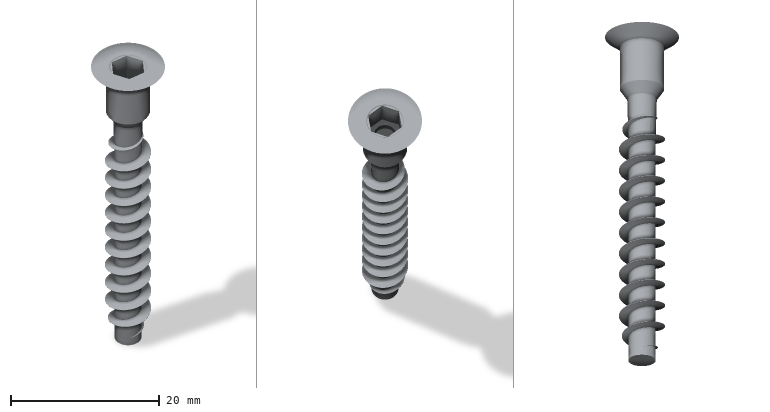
import math

import cadquery as cq

LENGTH = 48.0

HEAD_DIAMETER = 10.0
HEAD_HEIGHT = 1.5
COLLAR_DIAMETER = 6.0
COLLAR_LENGTH = 6.2
COLLAR_CONE_HEIGHT = 1.5
NECK_DIAMETER = 4.0
NECK_LENGTH = 5.6
CORE_DIAMETER = 3.7

HEAD_BOTTOM_Z = LENGTH - HEAD_HEIGHT
COLLAR_BOTTOM_Z = HEAD_BOTTOM_Z - COLLAR_LENGTH
NECK_TOP_Z = COLLAR_BOTTOM_Z - COLLAR_CONE_HEIGHT
NECK_BOTTOM_Z = NECK_TOP_Z - NECK_LENGTH

SOCKET_ACROSS_FLATS = 4.2
SOCKET_DEPTH = 4.0
SOCKET_MOUTH_DIAMETER = 5.0
SOCKET_MOUTH_DEPTH = 0.1
RELIEF_DIAMETER = 3.0
RELIEF_DEPTH = 5.0

THREAD_DIAMETER = 6.25
THREAD_PITCH = 3.09
THREAD_CREST_WIDTH = 0.05
THREAD_CORE_WIDTH = 0.7
THREAD_ROOT_RADIUS = 1.6
FULL_THREAD_START_Z = 4.6
FULL_THREAD_START_ANGLE = 0.0
FULL_THREAD_TURNS = 9.25
RUNOUT_TURNS = 1.25
RUNOUT_DROP_PER_TURN = 1.17


def make_shank():
    """Head, collar, neck and core as one revolved outline."""
    outline = [
        (0, 0),
        (CORE_DIAMETER / 2, 0),
        (CORE_DIAMETER / 2, NECK_BOTTOM_Z),
        (NECK_DIAMETER / 2, NECK_TOP_Z),
        (COLLAR_DIAMETER / 2, COLLAR_BOTTOM_Z),
        (COLLAR_DIAMETER / 2, HEAD_BOTTOM_Z),
        (HEAD_DIAMETER / 2, LENGTH),
        (0, LENGTH),
    ]
    return cq.Workplane("XZ").polyline(outline).close().revolve(360, (0, 0), (0, 1))


def make_socket():
    """Solid to remove for the hexagon, its conical mouth and the relief."""
    corner_diameter = SOCKET_ACROSS_FLATS / math.cos(math.pi / 6)
    top = cq.Workplane("XY").workplane(offset=LENGTH)
    hexagon = top.transformed(rotate=(0, 0, 90)).polygon(6, corner_diameter).extrude(-SOCKET_DEPTH)
    relief = top.circle(RELIEF_DIAMETER / 2).extrude(-RELIEF_DEPTH)
    mouth_bottom = cq.Vector(0, 0, LENGTH - SOCKET_MOUTH_DEPTH)
    mouth = cq.Workplane(
        cq.Solid.makeCone(corner_diameter / 2, SOCKET_MOUTH_DIAMETER / 2, SOCKET_MOUTH_DEPTH, mouth_bottom)
    )
    return hexagon.union(relief).union(mouth)


def thread_profile(radial_shift):
    """Corners (radius, height) of the thread section, moved outward by radial_shift."""
    crest_radius = THREAD_DIAMETER / 2
    core_radius = CORE_DIAMETER / 2
    widening = (THREAD_CORE_WIDTH - THREAD_CREST_WIDTH) / (crest_radius - core_radius)
    root_width = THREAD_CREST_WIDTH + widening * (crest_radius - THREAD_ROOT_RADIUS)
    root = THREAD_ROOT_RADIUS + radial_shift
    crest = crest_radius + radial_shift
    return [
        (root, -root_width / 2),
        (crest, -THREAD_CREST_WIDTH / 2),
        (crest, THREAD_CREST_WIDTH / 2),
        (root, root_width / 2),
    ]


def thread_section(start_turn, turns, start_shift, end_shift):
    """Thread between two positions counted in turns from the start of full depth.

    The section moves radially from start_shift to end_shift along the way.
    """
    rise = turns * THREAD_PITCH
    start_z = FULL_THREAD_START_Z + start_turn * THREAD_PITCH
    slope = math.atan2(end_shift - start_shift, rise)
    slant = 1 / math.cos(slope)
    cone_angle = math.degrees(slope) if slope else 360

    helices = [
        cq.Wire.makeHelix(
            THREAD_PITCH * slant, rise * slant, radius, cq.Vector(0, 0, height), angle=cone_angle
        ).Edges()[0]
        for radius, height in thread_profile(start_shift)
    ]
    faces = []
    for index, helix in enumerate(helices):
        faces.append(cq.Face.makeRuledSurface(helices[index - 1], helix))
    for ends in ([h.startPoint() for h in helices], [h.endPoint() for h in helices]):
        faces.append(cq.Face.makeFromWires(cq.Wire.makePolygon(ends, close=True)))

    solid = cq.Solid.makeSolid(cq.Shell.makeShell(faces)).fix()
    start_angle = FULL_THREAD_START_ANGLE + 360 * start_turn
    axis = (cq.Vector(0, 0, 0), cq.Vector(0, 0, 1))
    return solid.rotate(*axis, start_angle).translate(cq.Vector(0, 0, start_z))


runout_drop = RUNOUT_TURNS * RUNOUT_DROP_PER_TURN

result = make_shank().cut(make_socket())
for section in (
    thread_section(-RUNOUT_TURNS, RUNOUT_TURNS, -runout_drop, 0),
    thread_section(0, FULL_THREAD_TURNS, 0, 0),
    thread_section(FULL_THREAD_TURNS, RUNOUT_TURNS, 0, -runout_drop),
):
    result = result.union(cq.Workplane(section))

result = cq.Workplane(result.solids().val())